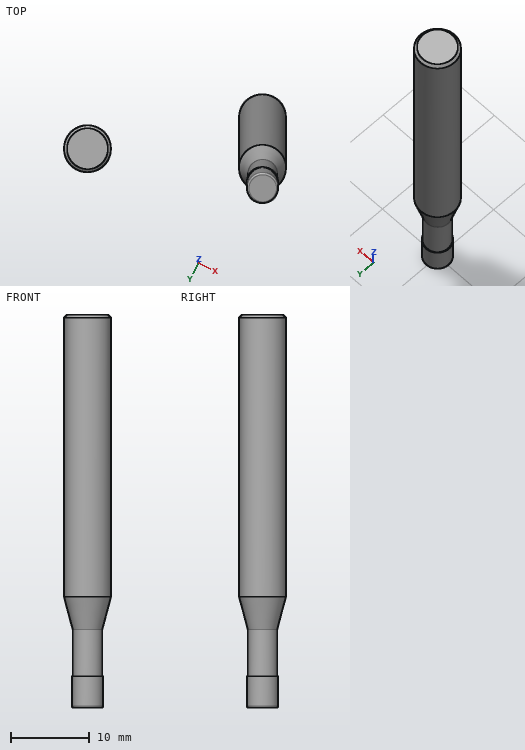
import cadquery as cq

overall_length = 50.0

shank_diameter = 6.0
shank_length = 35.9
shank_chamfer = 0.4

cutter_diameter = 4.0
cutter_length = 4.0
corner_radius = 0.25

neck_diameter = 3.8
taper_length = 4.1

shank_bottom = overall_length - shank_length
taper_bottom = shank_bottom - taper_length


def make_cutter():
    """Cutting head as a plain cylinder with a rounded lower corner."""
    head = cq.Workplane("XY").circle(cutter_diameter / 2).extrude(cutter_length)
    return head.faces("<Z").edges().fillet(corner_radius)


def make_neck():
    """Relieved neck that flares in a cone up to the shank diameter."""
    half_profile = [
        (0, cutter_length),
        (neck_diameter / 2, cutter_length),
        (neck_diameter / 2, taper_bottom),
        (shank_diameter / 2, shank_bottom),
        (0, shank_bottom),
    ]
    return cq.Workplane("XZ").polyline(half_profile).close().revolve(360, (0, 0), (0, 1))


def make_shank():
    """Clamping cylinder with a chamfered top end."""
    base = cq.Workplane("XY").workplane(offset=shank_bottom)
    cylinder = base.circle(shank_diameter / 2).extrude(shank_length)
    return cylinder.faces(">Z").edges().chamfer(shank_chamfer)


cutter = make_cutter()
neck = make_neck()
shank = make_shank()

result = cq.Compound.makeCompound([cutter.val(), neck.val(), shank.val()])